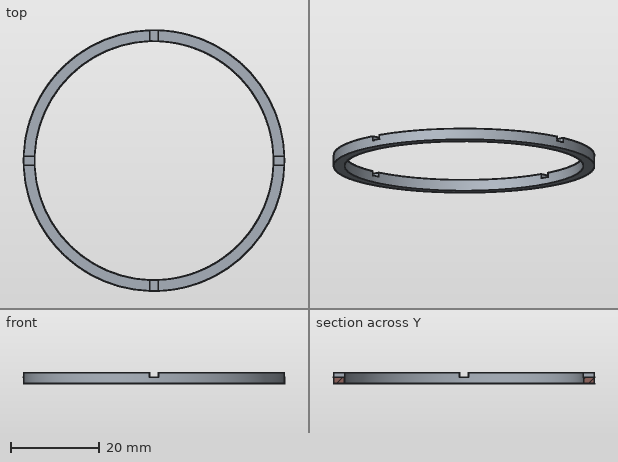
import cadquery as cq

outer_diameter = 59.0
inner_diameter = 54.0
ring_height = 2.5
notch_width = 2.0
notch_depth = 1.0


def make_ring():
    """Plain flat ring standing on the XY plane."""
    return (
        cq.Workplane("XY")
        .circle(outer_diameter / 2)
        .circle(inner_diameter / 2)
        .extrude(ring_height)
    )


def make_notch_cutter(angle):
    """Bar across the full diameter, cutting two opposite notches in the top face."""
    return (
        cq.Workplane("XY", origin=(0, 0, ring_height - notch_depth))
        .transformed(rotate=(0, 0, angle))
        .rect(outer_diameter + notch_width, notch_width)
        .extrude(notch_depth)
    )


result = make_ring()
for notch_angle in (0, 90):
    result = result.cut(make_notch_cutter(notch_angle))